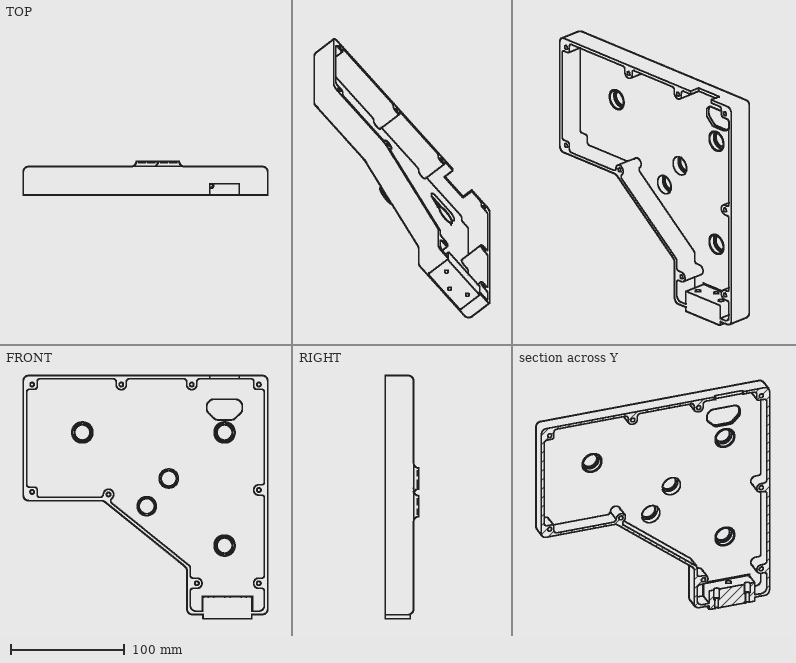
import cadquery as cq
import math

width = 215.0
height = 210.0
depth = 25.2
wall = 3.0
floor = 3.0
edge_radius = 5.0
floor_y = depth - floor
cavity_arm_radius = 5.0

shelf_z = 100.0
slope_start_x = 70.5
arm_x = 143.8
slope_end_z = 40.8

post_inset = 8.0
post_radius = 4.5
post_hole_radius = 1.7
post_blend = 2.4
corner_pad_size = 12.3
slope_post = (75.0, 105.5)
slope_web_width = 7.7
left_corner_post_z = 107.7
right_post_z = 109.5
arm_post_z = 27.5
arm_post_x = 152.6

bore_radius = 8.4
lip_hole_radius = 6.7
collar_radius = 9.2
inner_flare = 3.0
outer_flare = 4.5
lip_thickness = 1.3
inner_seat_left_x = 52.0
inner_seat_right_x = 177.0
inner_seat_upper_z = 160.0
inner_seat_lower_z = 60.6
inner_seats = [
    (inner_seat_left_x, inner_seat_upper_z),
    (inner_seat_right_x, inner_seat_upper_z),
    (inner_seat_right_x, inner_seat_lower_z),
]
outer_seats = [(128.0, 119.5), (108.5, 95.2)]

window_half_width = 15.5
window_top_z = 189.0
window_bottom_z = 171.1
window_top_corner = 3.7
window_bottom_half_width = 8.0
window_slope_top_z = 178.5
window_corner_radius = 4.3
notch_width = 25.8
notch_depth = 9.9

block_width = 43.2
block_x = (arm_x + width) / 2
block_top_z = 15.5
block_drop = 214.0 - height
block_corner_radius = 1.0
block_foot = 0.6
block_hole_radius = 2.4
block_pilot_radius = 1.5
block_hole_depth = 9.7
block_hole_pitch = 14.5
block_front_hole_y = 8.2
block_back_hole_y = 16.5


def slab(outline, start_y, end_y):
    """Extrude a sketch made on the XZ plane from start_y to end_y."""
    return outline.extrude(start_y - end_y).translate((0, start_y, 0))


def rod(point, radius, start_y, end_y):
    """Cylinder along Y centred on an (x, z) point."""
    return slab(cq.Workplane("XZ").center(*point).circle(radius), start_y, end_y)


def plan_outline():
    corners = [
        (0, shelf_z),
        (slope_start_x, shelf_z),
        (arm_x, slope_end_z),
        (arm_x, 0),
        (width, 0),
        (width, height),
        (0, height),
    ]
    return cq.Workplane("XZ").polyline(corners).close()


def tray_body():
    body = slab(plan_outline(), 0, depth).edges("|Y").fillet(edge_radius)
    return body.faces(">Y").edges().fillet(edge_radius)


def post(point, direction, web_width):
    """Round post joined to the wall by a web that is flush with one side of it."""
    angle = math.degrees(math.atan2(direction[1], direction[0]))
    web = (
        cq.Workplane("XZ")
        .center(*point)
        .transformed(rotate=(0, 0, angle))
        .center(post_inset / 2, post_radius - web_width / 2)
        .rect(post_inset, web_width)
    )
    return rod(point, post_radius, 0, floor_y).union(slab(web, 0, floor_y))


left = post_inset
right = width - post_inset
top = height - post_inset
corner_posts = [
    ((left, top), (-1, 1)),
    ((right, top), (1, 1)),
    ((left, left_corner_post_z), (-1, -1)),
]
full_width = 2 * post_radius
slope_web_direction = (slope_start_x - slope_post[0], shelf_z - slope_post[1])
wall_posts = [
    ((86.2, top), (0, 1), full_width),
    ((148.1, top), (0, 1), full_width),
    ((right, right_post_z), (1, 0), full_width),
    ((right, arm_post_z), (1, 0), full_width),
    ((arm_post_x, arm_post_z), (-1, 0), full_width),
    (slope_post, slope_web_direction, slope_web_width),
]
post_points = [post_data[0] for post_data in corner_posts + wall_posts]


def corner_pad(point, direction):
    """Square pad filling a cavity corner around a screw hole."""
    middle = corner_pad_size / 2 - post_inset
    x = point[0] - direction[0] * middle
    z = point[1] - direction[1] * middle
    return slab(cq.Workplane("XZ").center(x, z).rect(corner_pad_size, corner_pad_size), 0, floor_y)


def is_sharp_corner(edge):
    """True away from the round post ends and the two bottom corners of the arm."""
    center = edge.Center()
    gaps = [math.dist((center.x, center.z), point) for point, _, _ in wall_posts]
    return min(gaps) > 1.05 * post_radius and center.z > 2 * wall


def cavity():
    space = slab(plan_outline().offset2D(-wall), 0, floor_y)
    space = space.edges("|Y").edges("<Z").fillet(cavity_arm_radius)
    for point, direction in corner_posts:
        space = space.cut(corner_pad(point, direction))
    for point, direction, web_width in wall_posts:
        space = space.cut(post(point, direction, web_width))
    return space.edges("|Y").filter(is_sharp_corner).fillet(post_blend)


def collar(point, base_y, flare, outward):
    """Collar standing on a floor face with a quarter-round flare at its foot."""
    tip_y = base_y + outward * flare
    middle = flare * (1 - math.sqrt(0.5))
    profile = (
        cq.Workplane("XY")
        .moveTo(0, base_y)
        .lineTo(collar_radius + flare, base_y)
        .threePointArc((collar_radius + middle, base_y + outward * middle), (collar_radius, tip_y))
        .lineTo(0, tip_y)
        .close()
    )
    return profile.revolve(360, (0, 0, 0), (0, 1, 0)).translate((point[0], 0, point[1]))


def window():
    half = window_half_width
    x = inner_seat_right_x
    right_side = [
        (window_bottom_half_width, window_bottom_z),
        (half, window_slope_top_z),
        (half, window_top_z - window_top_corner),
        (half - window_top_corner, window_top_z),
    ]
    left_side = [(-px, pz) for px, pz in reversed(right_side)]
    corners = [(x + px, pz) for px, pz in right_side + left_side]
    opening = slab(cq.Workplane("XZ").polyline(corners).close(), wall, depth)
    return opening.edges("|Y").fillet(window_corner_radius)


def mounting_block():
    size_z = block_top_z + block_drop
    middle_z = (block_top_z - block_drop) / 2
    outline = cq.Workplane("XZ").center(block_x, middle_z).rect(block_width, size_z)
    block = slab(outline, 0, floor_y).edges("|Y").fillet(block_corner_radius)
    foot_width = block_width + 2 * block_foot
    foot = (
        cq.Workplane("XZ", origin=(0, floor_y, 0))
        .center(block_x, (block_top_z + block_foot) / 2)
        .rect(foot_width, block_top_z + block_foot)
        .extrude(block_foot, taper=45)
    )
    return block.union(foot)


def block_hole(x, y):
    start = cq.Workplane("XY", origin=(x, y, block_top_z))
    wide = start.circle(block_hole_radius).extrude(-block_hole_depth)
    pilot = start.circle(block_pilot_radius).extrude(-(block_top_z + block_drop))
    return wide.union(pilot)


result = tray_body().cut(cavity()).union(mounting_block())

for seat in inner_seats:
    result = result.union(collar(seat, floor_y, inner_flare, -1))
    result = result.cut(rod(seat, bore_radius, 0, depth - lip_thickness))
    result = result.cut(rod(seat, lip_hole_radius, 0, depth))

for seat in outer_seats:
    tip_y = depth + outer_flare
    result = result.union(collar(seat, depth, outer_flare, 1))
    result = result.cut(rod(seat, bore_radius, 0, tip_y - lip_thickness))
    result = result.cut(rod(seat, lip_hole_radius, 0, tip_y))

for point in post_points:
    result = result.cut(rod(point, post_hole_radius, 0, depth))

result = result.cut(window())

notch_center = (inner_seat_right_x, height)
notch = cq.Workplane("XZ").center(*notch_center).rect(notch_width, 2 * wall)
result = result.cut(slab(notch, 0, notch_depth))

for hole_x, hole_y in [
    (block_x, block_back_hole_y),
    (block_x - block_hole_pitch, block_front_hole_y),
    (block_x + block_hole_pitch, block_front_hole_y),
]:
    result = result.cut(block_hole(hole_x, hole_y))